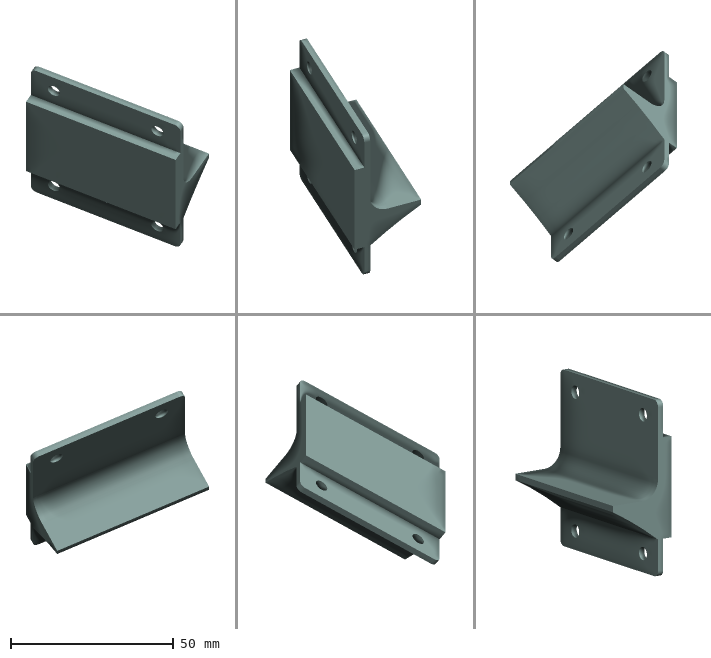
import cadquery as cq

width = 52.0
plate_height = 56.0
plate_thickness = 2.0
corner_radius = 2.0

hole_diameter = 4.2
hole_spacing_x = 36.0
hole_spacing_z = 44.0

pad_height = 32.0
pad_thickness = 3.2

shelf_depth = 17.0
shelf_top_z = -3.0
shelf_tip_thickness = 2.0
shelf_fillet_radius = 6.0
underside_hollow = 0.41


def make_plate():
    """Rounded plate with four through holes."""
    return (
        cq.Workplane("XZ")
        .rect(width, plate_height)
        .extrude(plate_thickness)
        .edges("|Y")
        .fillet(corner_radius)
        .faces("<Y")
        .workplane()
        .rect(hole_spacing_x, hole_spacing_z, forConstruction=True)
        .vertices()
        .hole(hole_diameter)
    )


def make_pad():
    """Full-width pad on the front face, centred in height."""
    return (
        cq.Workplane("XZ", origin=(0, -plate_thickness, 0))
        .rect(width, pad_height)
        .extrude(pad_thickness)
    )


def make_shelf():
    """Shelf with a concave fillet above and a slightly concave underside."""
    tip_bottom_z = shelf_top_z - shelf_tip_thickness
    root_bottom_z = -pad_height / 2
    profile = (
        cq.Workplane("YZ", origin=(-width / 2, 0, 0))
        .moveTo(0, root_bottom_z)
        .sagittaArc((shelf_depth, tip_bottom_z), underside_hollow)
        .lineTo(shelf_depth, shelf_top_z)
        .lineTo(shelf_fillet_radius, shelf_top_z)
        .radiusArc((0, shelf_top_z + shelf_fillet_radius), shelf_fillet_radius)
        .close()
    )
    return profile.extrude(width)


result = make_plate().union(make_pad()).union(make_shelf())